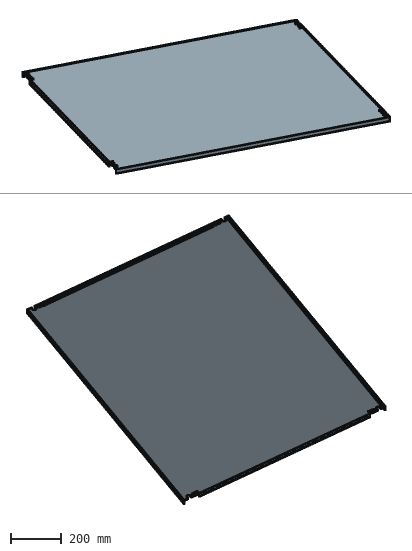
import cadquery as cq

width = 930.0
length = 1170.0
height = 20.0
thickness = 2.5

end_flange_inset = 70.0

notch_offset = 27.0
notch_width = 14.0
notch_depth = 15.0
notch_corner_radius = 5.0

slot_offset = 54.0
slot_edge_distance = 10.0
slot_length = 20.0
slot_width = 6.4

relief_width = 4.0
relief_depth = 16.0
relief_offset = end_flange_inset - relief_width / 2

CORNERS = [(sx, sy) for sx in (-1, 1) for sy in (-1, 1)]


def make_panel():
    """Flat sheet with a downward flange along each of its four edges."""
    sheet = cq.Workplane("XY").rect(width, length).extrude(-thickness)
    side_flanges = (
        cq.Workplane("XY")
        .pushPoints([(sx * (width - thickness) / 2, 0) for sx in (-1, 1)])
        .rect(thickness, length)
        .extrude(-height)
    )
    end_flanges = (
        cq.Workplane("XY")
        .pushPoints([(0, sy * (length - thickness) / 2) for sy in (-1, 1)])
        .rect(width - 2 * end_flange_inset, thickness)
        .extrude(-height)
    )
    return sheet.union(side_flanges).union(end_flanges)


def edge_points(offset, inset):
    """One point per corner, `offset` in from the long edge and `inset` from the short edge."""
    return [(sx * (width / 2 - offset), sy * (length / 2 - inset)) for sx, sy in CORNERS]


def notches():
    """Round-cornered cuts open to the short edges."""
    return (
        cq.Workplane("XY")
        .pushPoints(edge_points(notch_offset, 0))
        .rect(notch_width, 2 * notch_depth)
        .extrude(-height)
        .edges("|Z")
        .fillet(notch_corner_radius)
    )


def bend_reliefs():
    """Round-bottomed cuts open to the short edges."""
    return (
        cq.Workplane("XY")
        .pushPoints(edge_points(relief_offset, 0))
        .slot2D(2 * relief_depth, relief_width, 90)
        .extrude(-height)
    )


def mounting_slots():
    return (
        cq.Workplane("XY")
        .pushPoints(edge_points(slot_offset, slot_edge_distance))
        .slot2D(slot_length, slot_width)
        .extrude(-height)
    )


result = make_panel().cut(notches()).cut(bend_reliefs()).cut(mounting_slots())